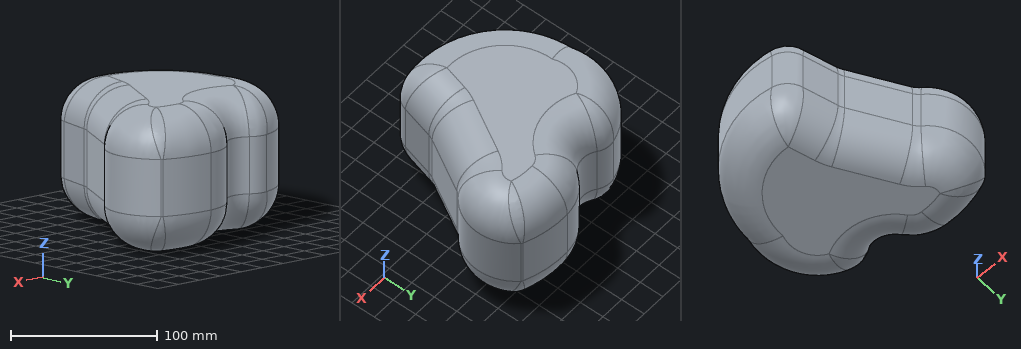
import cadquery as cq
import math

HEIGHT = 100.0
RIM_RADIUS = 30.0

BODY_CENTRE = (-1.6, -1.6)
TOE_CENTRE = (9.4, -59.6)
WAIST_CENTRE = (75.2, 1.5)
HEAD_CENTRE = (42.0, 45.0)
CROWN_CENTRE = (35.0, -8.7)
BROW_CENTRE = (32.5, 38.8)
NOTCH_CENTRE = (-15.3, 74.7)
SHOULDER_CENTRE = (-36.0, 46.8)
FLANK_CENTRE = (-26.8, 9.0)

BODY_RADIUS = 79.0
FLANK_RADIUS = 55.5
HEAD_RADIUS = 39.9
CREST_RADIUS = 3.3
BEND_RADIUS = 19.7

TOE_SIDE_ANGLE = 74.5
LONG_SIDE_ANGLE = 60.0

toe_radius = BODY_RADIUS - math.dist(BODY_CENTRE, TOE_CENTRE)
waist_radius = math.dist(WAIST_CENTRE, HEAD_CENTRE) - HEAD_RADIUS
shoulder_radius = FLANK_RADIUS - math.dist(FLANK_CENTRE, SHOULDER_CENTRE)
notch_radius = math.dist(NOTCH_CENTRE, SHOULDER_CENTRE) - shoulder_radius
brow_radius = math.dist(BROW_CENTRE, NOTCH_CENTRE) - notch_radius
crown_radius = brow_radius + math.dist(CROWN_CENTRE, BROW_CENTRE)


def polar(centre, radius, degrees):
    """Point at a distance and direction from a centre."""
    angle = math.radians(degrees)
    return (centre[0] + radius * math.cos(angle), centre[1] + radius * math.sin(angle))


def direction(start, end):
    """Direction in degrees from one point to another."""
    return math.degrees(math.atan2(end[1] - start[1], end[0] - start[0]))


def toward(centre, radius, target):
    """Point on a circle on the ray from its centre to a target."""
    return polar(centre, radius, direction(centre, target))


def left_circle_crossing(centre_a, radius_a, centre_b, radius_b):
    """Crossing of two circles on the left of the ray from a to b."""
    gap = math.dist(centre_a, centre_b)
    cosine = (radius_a**2 + gap**2 - radius_b**2) / (2 * radius_a * gap)
    spread = math.degrees(math.acos(cosine))
    return polar(centre_a, radius_a, direction(centre_a, centre_b) + spread)


def line_crossing(point_a, angle_a, point_b, angle_b):
    """Crossing of two lines given by a point and a direction each."""
    reach = math.dist(point_a, point_b) * math.sin(math.radians(angle_b - direction(point_a, point_b)))
    return polar(point_a, reach / math.sin(math.radians(angle_b - angle_a)), angle_a)


def arc_to(sketch, start, centre, end, clockwise=False):
    """Add the arc about a centre from start to end."""
    first = direction(centre, start)
    sweep = (direction(centre, end) - first) % 360
    if clockwise:
        sweep -= 360
    middle = polar(centre, math.dist(centre, start), first + sweep / 2)
    return sketch.threePointArc(middle, end)


body_start = left_circle_crossing(BODY_CENTRE, BODY_RADIUS, FLANK_CENTRE, FLANK_RADIUS)
body_end = polar(BODY_CENTRE, BODY_RADIUS, direction(BODY_CENTRE, TOE_CENTRE))
toe_end = polar(TOE_CENTRE, toe_radius, TOE_SIDE_ANGLE - 90)
waist_start = polar(WAIST_CENTRE, waist_radius, LONG_SIDE_ANGLE + 90)
side_corner = line_crossing(toe_end, TOE_SIDE_ANGLE, waist_start, LONG_SIDE_ANGLE)
bend_setback = BEND_RADIUS * math.tan(math.radians((TOE_SIDE_ANGLE - LONG_SIDE_ANGLE) / 2))
bend_start = polar(side_corner, -bend_setback, TOE_SIDE_ANGLE)
bend_end = polar(side_corner, bend_setback, LONG_SIDE_ANGLE)
bend_centre = polar(bend_start, BEND_RADIUS, TOE_SIDE_ANGLE - 90)
head_start = toward(HEAD_CENTRE, HEAD_RADIUS, WAIST_CENTRE)
crest_centre = left_circle_crossing(
    HEAD_CENTRE, HEAD_RADIUS - CREST_RADIUS, CROWN_CENTRE, crown_radius - CREST_RADIUS
)
crest_start = polar(crest_centre, CREST_RADIUS, direction(HEAD_CENTRE, crest_centre))
crest_end = polar(crest_centre, CREST_RADIUS, direction(CROWN_CENTRE, crest_centre))
crown_end = polar(CROWN_CENTRE, crown_radius, direction(CROWN_CENTRE, BROW_CENTRE))
brow_end = toward(BROW_CENTRE, brow_radius, NOTCH_CENTRE)
notch_end = toward(NOTCH_CENTRE, notch_radius, SHOULDER_CENTRE)
shoulder_end = polar(SHOULDER_CENTRE, shoulder_radius, direction(FLANK_CENTRE, SHOULDER_CENTRE))


def make_outline():
    """Closed outline in the middle plane, anticlockwise from the flank and body joint."""
    sketch = cq.Workplane("XY").moveTo(*body_start)
    sketch = arc_to(sketch, body_start, BODY_CENTRE, body_end)
    sketch = arc_to(sketch, body_end, TOE_CENTRE, toe_end)
    sketch = sketch.lineTo(*bend_start)
    sketch = arc_to(sketch, bend_start, bend_centre, bend_end, clockwise=True)
    sketch = sketch.lineTo(*waist_start)
    sketch = arc_to(sketch, waist_start, WAIST_CENTRE, head_start, clockwise=True)
    sketch = arc_to(sketch, head_start, HEAD_CENTRE, crest_start)
    sketch = arc_to(sketch, crest_start, crest_centre, crest_end)
    sketch = arc_to(sketch, crest_end, CROWN_CENTRE, crown_end)
    sketch = arc_to(sketch, crown_end, BROW_CENTRE, brow_end)
    sketch = arc_to(sketch, brow_end, NOTCH_CENTRE, notch_end, clockwise=True)
    sketch = arc_to(sketch, notch_end, SHOULDER_CENTRE, shoulder_end)
    sketch = arc_to(sketch, shoulder_end, FLANK_CENTRE, body_start)
    return sketch.close()


upper_half = make_outline().extrude(HEIGHT / 2).faces(">Z").edges().fillet(RIM_RADIUS)
result = upper_half.union(upper_half.mirror("XY")).clean()